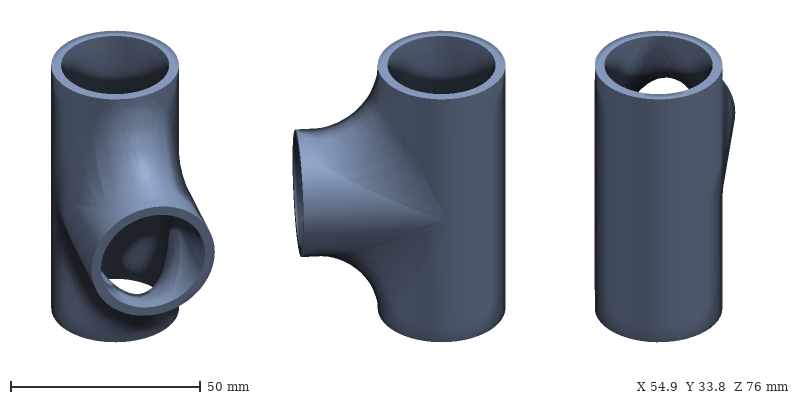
import cadquery as cq
import math

shapes = cq.occ_impl.shapes

pipe_diameter = 33.75
wall = 2.6
run_length = 76.0
reach = run_length / 2

outer_radius = pipe_diameter / 2
inner_radius = outer_radius - wall

arc_steps = 24
sweep_steps = 48
fit_tolerance = 0.0005
sewing_tolerance = 0.01


def blend_point(radius, arc_angle, sweep_angle):
    """Point on the blend: the mid-plane quarter arc shrinks to the Y axis at y = +/- radius."""
    arc_radius = reach - radius
    shrink = math.cos(sweep_angle)
    x = (reach - arc_radius * math.cos(arc_angle)) * shrink
    z = (reach - arc_radius * math.sin(arc_angle)) * shrink
    return cq.Vector(x, radius * math.sin(sweep_angle), z)


def blend_face(radius):
    """Upper blend surface between run and branch."""
    arc_angles = [i * math.pi / 2 / arc_steps for i in range(arc_steps + 1)]
    sweep_angles = [math.pi * (j / sweep_steps - 0.5) for j in range(sweep_steps + 1)]
    grid = [[blend_point(radius, a, s) for s in sweep_angles] for a in arc_angles]
    return cq.Face.makeSplineApprox(grid, tol=fit_tolerance, minDeg=3, maxDeg=8)


def prism(points, radius):
    """XZ outline extruded across the full pipe width."""
    return cq.Workplane("XZ").polyline(points).close().extrude(2 * radius, both=True)


def tee_body(radius):
    """Solid tee of the given pipe radius, sewn from its cylinder, end and blend faces."""
    run_relief = prism([(0, 0), (2 * radius, 2 * reach), (2 * radius, -2 * reach)], radius)
    run = cq.Workplane("XY").circle(radius).extrude(reach, both=True).cut(run_relief)
    branch_sector = prism([(0, 0), (2 * reach, 2 * radius), (2 * reach, -2 * radius)], radius)
    branch = cq.Workplane("YZ").circle(radius).extrude(reach).intersect(branch_sector)

    run_faces = run.faces("%CYLINDER").vals() + run.faces("|Z").vals()
    branch_faces = branch.faces("%CYLINDER").vals() + branch.faces(">X").vals()
    upper_blend = blend_face(radius)
    lower_blend = upper_blend.mirror("XY")
    skin = shapes.shell(*run_faces, *branch_faces, upper_blend, lower_blend, tol=sewing_tolerance)
    return cq.Workplane(shapes.solid(skin))


result = tee_body(outer_radius).cut(tee_body(inner_radius))